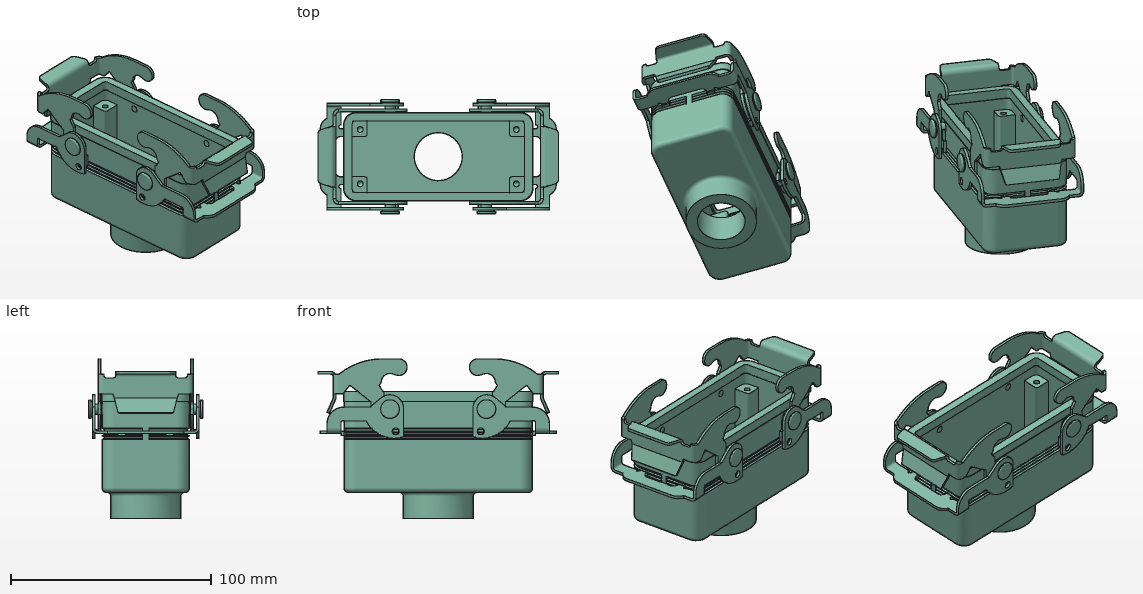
import cadquery as cq
import math

clearance = 1.2

body_x = 46.9
body_y = 21.7
body_bottom = 13.0
body_corner = 6.1
bottom_round = 2.2
rim_growth = 0.2
rim_bottom = 58.3
rim_top = 63.3
cavity_x = 42.8
cavity_y = 17.9
mouth_corner = 1.5
cavity_corner = 3.0
undercut = 0.7
cavity_floor = 17.0
nozzle_radius = 17.5
nozzle_root_round = 1.8
bore_radius = 11.9

groove_top = 45.0
groove_pitch = 1.9
groove_mouth = 1.8
groove_floor_height = 0.8
groove_depth = 1.0
groove_count = 3
end_gap = 3.0

post_length = 7.4
post_width = 7.9
post_top = 52.1
post_round = 1.4
screw_x = 38.9
screw_y = 13.5
screw_radius = 1.4
screw_depth = 14.4

sheet = 1.4
pivot_x = -24.0
pivot_z = 54.5
hook_outer_y = 23.8
arm_outer_y = 26.6
inner_bend = 1.3
outer_bend = inner_bend + sheet

end_face_x = -52.3
end_inner_x = end_face_x + sheet
end_bend_x = end_face_x + outer_bend
end_bottom = 62.0
end_top = 71.9
back_radius = 34.2
back_top_x = -28.0
hook_top = 79.5
nose_radius = 4.2
nose_x = -19.7
mouth_radius = 4.3
mouth_z = 67.9
relief_half = 20.8
relief_z = 70.1
relief_round = 1.2
lip_half = 15.0
lip_tip_half = 13.0
lip_tip_x = -60.0
lip_top = 73.3
lip_round = 2.4
flap_half = 16.3
flap_bend_half = 15.7
flap_tip_half = 13.7
flap_bend_z = 60.1
flap_tip_x = -55.4
flap_tip_z = 52.9
flap_angle = math.atan2(end_face_x - flap_tip_x, flap_bend_z - flap_tip_z)
flap_round = 1.4
hub_radius = 10.0
hub_side_x = -33.6
hub_edge_x = -20.4
mouth_heel = (-29.4, 66.2)
neck_x = -27.0
neck_top = 62.6
shank_bottom = 58.2
arch_x = -43.9
arch_top = 66.1
arch_half = 0.5
arch_drop = 0.2
arch_foot_x = -47.5
foot_left = -22.7
foot_right = -18.6
foot_top = 49.2
foot_bottom = 43.1

handle_left = -55.4
handle_right = -48.3
handle_bottom = 42.2
arm_start = 45.6
arm_bottom = 48.6
arm_top = 55.5
arm_round = 8.4
arm_inner_round = 0.6
head_radius = 7.2
head_side_x = -17.3
belly_radius = 15.5
belly_x = -22.0
belly_z = 40.0
arm_slope_x = -34.0
bulge_x = -58.8
bulge_half = 13.2
bulge_root_half = 19.1
bulge_mid = (-58.1, 16.5)
slot_x = -51.1
slot_half = 10.0
slot_round = 2.4
tab_half = 13.9
tab_bottom = 41.3
tab_drop = 0.2
notch_radius = 1.0
notch_depth = 1.1

rivet_head_radius = 4.7
overall_width = 57.0
rivet_top_y = overall_width / 2
rivet_head = 1.2
rivet_round = 0.6
rivet_neck_radius = 4.0
rivet_collar_radius = 2.6
rivet_stem_radius = 1.7

window_x = -21.1
window_z = 43.4
window_radius = 1.7
lug_left = -22.4
lug_right = -19.8
lug_top = 44.4


def block(x0, x1, half_y, z0, z1):
    """A box symmetric about the XZ plane."""
    box = cq.Workplane("XY").box(x1 - x0, 2 * half_y, z1 - z0, centered=False)
    return box.translate((x0, -half_y, z0))


def rounded_block(half_x, half_y, z0, z1, corner):
    return block(-half_x, half_x, half_y, z0, z1).edges("|Z").fillet(corner)


def side_plate(outline, outer_y):
    """Extrudes an XZ outline by the sheet thickness and copies it to the +Y side."""
    near = outline.extrude(sheet).translate((0, sheet - outer_y, 0))
    return near.union(near.mirror("XZ"))


def rod(x, z, radius, y0, y1):
    """A cylinder along -Y from distance y0 to distance y1."""
    return cq.Workplane("XZ", origin=(x, -y0, z)).circle(radius).extrude(y1 - y0)


def both_sides(shape):
    return shape.union(shape.mirror("XZ"))


def groove_cutter(top):
    """Trapezoidal groove round the body, interrupted in the middle of each end."""
    flank = (groove_mouth - groove_floor_height) / 2
    taper = math.degrees(math.atan2(groove_depth, flank))
    middle = top - groove_mouth / 2
    half_floor = groove_floor_height / 2
    core = rounded_block(
        body_x - groove_depth,
        body_y - groove_depth,
        middle - half_floor,
        middle + half_floor,
        body_corner - groove_depth,
    )
    outline = cq.Sketch().rect(2 * body_x, 2 * body_y).vertices().fillet(body_corner)
    lower_flank = cq.Workplane("XY").placeSketch(outline).extrude(flank, taper=taper)
    core = core.union(lower_flank.translate((0, 0, top - groove_mouth)))
    core = core.union(lower_flank.mirror("XY").translate((0, 0, top)))
    reach = body_x + clearance
    bottom = top - groove_mouth
    ring = block(-reach, reach, body_y + clearance, bottom, top).cut(core)
    return ring.cut(block(-reach, reach, end_gap / 2, bottom, top))


def screw_post(side_x, side_y):
    """Post in one corner of the cavity, with a blind screw hole ending in a cone."""
    post = cq.Workplane("XY").box(
        post_length + undercut, post_width + undercut, post_top - cavity_floor, centered=False
    )
    post = post.edges("|Z and <X and <Y").fillet(post_round)
    post = post.translate((cavity_x - post_length, cavity_y - post_width, cavity_floor))
    hole_bottom = post_top - screw_depth
    hole = cq.Workplane("XZ").polyline([
        (0, post_top),
        (screw_radius, post_top),
        (screw_radius, hole_bottom),
        (0, hole_bottom - screw_radius),
    ]).close().revolve(360, (0, 0, 0), (0, 1, 0))
    post = post.cut(hole.translate((screw_x, screw_y, 0)))
    if side_x < 0:
        post = post.mirror("YZ")
    if side_y < 0:
        post = post.mirror("XZ")
    return post


def make_housing():
    body = rounded_block(body_x, body_y, body_bottom, rim_top, body_corner)
    body = body.faces("<Z").edges().fillet(bottom_round)
    nozzle = cq.Workplane("XY").circle(nozzle_radius).extrude(body_bottom + bottom_round)
    body = body.union(nozzle)
    body = body.edges(cq.selectors.BoxSelector(
        (-nozzle_radius - clearance, -nozzle_radius - clearance, body_bottom - clearance),
        (nozzle_radius + clearance, nozzle_radius + clearance, body_bottom + clearance),
        boundingbox=True,
    )).fillet(nozzle_root_round)
    body = body.union(
        rounded_block(body_x + rim_growth, body_y + rim_growth, rim_bottom, rim_top, body_corner)
    )
    for index in range(groove_count):
        body = body.cut(groove_cutter(groove_top - index * groove_pitch))
    body = body.cut(rounded_block(cavity_x, cavity_y, rim_bottom, rim_top, mouth_corner))
    body = body.cut(rounded_block(
        cavity_x + undercut, cavity_y + undercut, cavity_floor, rim_bottom, cavity_corner
    ))
    body = body.cut(cq.Workplane("XY").circle(bore_radius).extrude(rim_bottom))
    for side_x in (-1, 1):
        for side_y in (-1, 1):
            body = body.union(screw_post(side_x, side_y))
        stem = rod(side_x * pivot_x, pivot_z, rivet_stem_radius, cavity_y, body_y + clearance)
        body = body.cut(both_sides(stem))
    return body


def hook_plates():
    """The two hooks, each in the XZ plane."""
    back_z = hook_top - back_radius
    back_mid_x = (end_bend_x + back_top_x) / 2

    def back_height(x):
        return back_z + math.sqrt(back_radius**2 - (x - back_top_x) ** 2)

    nose_z = hook_top - nose_radius
    nose_angle = math.atan2(nose_z - mouth_z, nose_x - pivot_x)
    meet = (pivot_x + mouth_radius * math.cos(nose_angle), mouth_z + mouth_radius * math.sin(nose_angle))
    nose_bottom = (nose_x, nose_z - nose_radius)
    mouth_top = (pivot_x, mouth_z + mouth_radius)
    mouth_side = (pivot_x - mouth_radius, mouth_z)
    hub_height = math.sqrt(hub_radius**2 - (hub_side_x - pivot_x) ** 2)
    hub_mid = (pivot_x - hub_radius * math.sqrt(0.5), pivot_z - hub_radius * math.sqrt(0.5))
    outline = (
        cq.Workplane("XZ")
        .moveTo(end_bend_x, back_height(end_bend_x))
        .threePointArc((back_mid_x, back_height(back_mid_x)), (back_top_x, hook_top))
        .lineTo(nose_x, hook_top)
        .threePointArc((nose_x + nose_radius, nose_z), nose_bottom)
        .lineTo(*meet)
        .threePointArc(mouth_top, mouth_side)
        .lineTo(*mouth_heel)
        .lineTo(neck_x, neck_top)
        .lineTo(neck_x, pivot_z)
        .lineTo(hub_edge_x, pivot_z)
        .lineTo(hub_edge_x, foot_top)
        .lineTo(foot_right, foot_top)
        .lineTo(foot_right, foot_bottom)
        .lineTo(foot_left, foot_bottom)
        .lineTo(foot_left, pivot_z - hub_radius)
        .lineTo(pivot_x, pivot_z - hub_radius)
        .threePointArc(hub_mid, (hub_side_x, pivot_z - hub_height))
        .lineTo(hub_side_x, shank_bottom)
        .lineTo(arch_x + arch_half, arch_top - arch_drop)
        .threePointArc((arch_x, arch_top), (arch_x - arch_half, arch_top - arch_drop))
        .lineTo(arch_foot_x, end_bottom)
        .lineTo(end_bend_x, end_bottom)
        .close()
    )
    return side_plate(outline, hook_outer_y)


def end_plate():
    """Upright plate joining the hooks through rounded corners."""
    plate = block(end_face_x, 0, hook_outer_y, end_bottom, end_top)
    plate = plate.edges("|Z and <X").fillet(outer_bend)
    inside = block(end_inner_x, 0, hook_outer_y - sheet, end_bottom, end_top)
    plate = plate.cut(inside.edges("|Z and <X").fillet(inner_bend))
    plate = plate.intersect(block(end_face_x, end_bend_x, hook_outer_y, end_bottom, end_top))
    outside_x = end_face_x - clearance
    inside_x = end_inner_x + clearance
    over = end_top + clearance
    relief_width = relief_half - lip_half
    relief = block(outside_x, inside_x, relief_width / 2, relief_z, over)
    relief = relief.edges("|X and <Z").fillet(relief_round)
    relief = relief.translate((0, lip_half + relief_width / 2, 0))
    lip_space = block(outside_x, inside_x, lip_half, lip_top - outer_bend, over)
    return plate.cut(both_sides(relief)).cut(lip_space)


def thumb_lip():
    """Lip bent outward from the top of the end plate, with a tapered plan."""
    bend_z = lip_top - outer_bend
    bend_x = end_inner_x - outer_bend
    diagonal = math.sqrt(0.5)
    strip = (
        cq.Workplane("XZ")
        .moveTo(end_inner_x, end_bottom)
        .lineTo(end_inner_x, bend_z)
        .threePointArc(
            (bend_x + outer_bend * diagonal, bend_z + outer_bend * diagonal), (bend_x, lip_top)
        )
        .lineTo(lip_tip_x, lip_top)
        .lineTo(lip_tip_x, lip_top - sheet)
        .lineTo(bend_x, lip_top - sheet)
        .threePointArc(
            (bend_x + inner_bend * diagonal, bend_z + inner_bend * diagonal), (end_face_x, bend_z)
        )
        .lineTo(end_face_x, end_bottom)
        .close()
        .extrude(lip_half, both=True)
    )
    plan = cq.Workplane("XY").polyline([
        (end_inner_x, -lip_half),
        (end_inner_x, lip_half),
        (bend_x, lip_half),
        (lip_tip_x, lip_tip_half),
        (lip_tip_x, -lip_tip_half),
        (bend_x, -lip_half),
    ]).close().extrude(lip_top)
    return strip.intersect(plan.edges("|Z and <X").fillet(lip_round))


def spring_flap():
    """Tapered flap sloping outward below the end plate."""
    across = sheet * math.cos(flap_angle)
    down = sheet * math.sin(flap_angle)
    strip = cq.Workplane("XZ").polyline([
        (end_face_x, end_bottom),
        (end_face_x, flap_bend_z),
        (flap_tip_x, flap_tip_z),
        (flap_tip_x + across, flap_tip_z - down),
        (end_inner_x, flap_bend_z - down / 2),
        (end_inner_x, end_bottom),
    ]).close().extrude(flap_half, both=True)
    front = cq.Workplane("YZ").polyline([
        (-flap_half, end_bottom),
        (flap_half, end_bottom),
        (flap_bend_half, flap_bend_z),
        (flap_tip_half, flap_tip_z - down),
        (-flap_tip_half, flap_tip_z - down),
        (-flap_bend_half, flap_bend_z),
    ]).close().extrude(lip_tip_x)
    return strip.intersect(front.edges("|X and <Z").fillet(flap_round))


def handle_arms():
    """The two arms, each with a round head about the pivot."""
    reach = math.hypot(arm_slope_x - pivot_x, arm_top - pivot_z)
    toward = math.atan2(arm_top - pivot_z, arm_slope_x - pivot_x)
    touch = toward - math.acos(head_radius / reach)
    touch_point = (pivot_x + head_radius * math.cos(touch), pivot_z + head_radius * math.sin(touch))
    belly_centre_z = belly_z + belly_radius

    def belly_height(x):
        return belly_centre_z - math.sqrt(belly_radius**2 - (x - belly_x) ** 2)

    belly_start_x = belly_x - math.sqrt(belly_radius**2 - (belly_centre_z - arm_bottom) ** 2)
    inner_mid = arm_inner_round * (1 - math.sqrt(0.5))
    round_mid = arm_round * (1 - math.sqrt(0.5))
    outline = (
        cq.Workplane("XZ")
        .moveTo(handle_left, arm_start)
        .lineTo(handle_left, arm_top - arm_round)
        .threePointArc(
            (handle_left + round_mid, arm_top - round_mid), (handle_left + arm_round, arm_top)
        )
        .lineTo(arm_slope_x, arm_top)
        .lineTo(*touch_point)
        .threePointArc((pivot_x, pivot_z + head_radius), (head_side_x, pivot_z))
        .lineTo(head_side_x, belly_height(head_side_x))
        .threePointArc((belly_x, belly_z), (belly_start_x, arm_bottom))
        .lineTo(handle_right + arm_inner_round, arm_bottom)
        .threePointArc(
            (handle_right + inner_mid, arm_bottom - inner_mid),
            (handle_right, arm_bottom - arm_inner_round),
        )
        .lineTo(handle_right, arm_start)
        .close()
    )
    return side_plate(outline, arm_outer_y)


def handle_grip():
    """Flat grip between the arms, bent up at both sides, with a bulge and two detent tabs."""
    grip = block(handle_left, handle_right, arm_outer_y, handle_bottom, arm_start)
    grip = grip.edges("|X and <Z").fillet(outer_bend)
    floor = handle_bottom + sheet
    inside = block(handle_left, handle_right, arm_outer_y - sheet, floor, arm_start)
    grip = grip.cut(inside.edges("|X and <Z").fillet(inner_bend))

    bulge = (
        cq.Workplane("XY", origin=(0, 0, handle_bottom))
        .moveTo(handle_left, -bulge_root_half)
        .threePointArc((bulge_mid[0], -bulge_mid[1]), (bulge_x, -bulge_half))
        .lineTo(bulge_x, bulge_half)
        .threePointArc(bulge_mid, (handle_left, bulge_root_half))
        .close()
        .extrude(sheet)
    )
    grip = grip.union(bulge)
    tabs = cq.Workplane("XZ").polyline([
        (handle_right, floor),
        (-body_x, floor - tab_drop),
        (-body_x, tab_bottom),
        (handle_right, tab_bottom),
    ]).close().extrude(tab_half, both=True)
    grip = grip.union(tabs)
    slot = block(slot_x, 0, slot_half, tab_bottom, floor)
    grip = grip.cut(slot.edges("|Z and <X").fillet(slot_round))
    notch_centre = handle_right - notch_depth + notch_radius
    notch = block(notch_centre, -body_x, notch_radius, tab_bottom, floor)
    notch_end = cq.Workplane("XY", origin=(notch_centre, 0, tab_bottom)).circle(notch_radius)
    notch = notch.union(notch_end.extrude(floor - tab_bottom))
    return grip.cut(both_sides(notch.translate((0, tab_half + notch_radius, 0))))


def rivets():
    """Pivot rivets running through both sheets into the housing wall."""
    head = rod(pivot_x, pivot_z, rivet_head_radius, rivet_top_y - rivet_head, rivet_top_y)
    head = head.faces("<Y").edges().fillet(rivet_round)
    neck = rod(pivot_x, pivot_z, rivet_neck_radius, arm_outer_y, rivet_top_y - rivet_head)
    shape = head.union(neck)
    shape = shape.union(rod(pivot_x, pivot_z, rivet_collar_radius, body_y, arm_outer_y))
    shape = shape.union(rod(pivot_x, pivot_z, rivet_stem_radius, cavity_y + undercut, arm_outer_y))
    return both_sides(shape)


def make_lever():
    hook = hook_plates().union(end_plate()).union(thumb_lip()).union(spring_flap())
    handle = handle_arms().union(handle_grip())
    window = rod(window_x, window_z, window_radius, arm_outer_y - sheet, arm_outer_y)
    handle = handle.cut(both_sides(window))
    lug = block(lug_left, lug_right, arm_outer_y - sheet, foot_bottom, lug_top)
    lug = lug.cut(block(lug_left, lug_right, hook_outer_y - sheet, foot_bottom, lug_top))
    hook = hook.union(lug)
    return hook.union(handle).union(rivets())


housing = make_housing()
levers = []
for lever_end in (-1, 1):
    lever = make_lever()
    if lever_end > 0:
        lever = lever.mirror("YZ")
    levers.append(lever)

result = cq.Compound.makeCompound([housing.val(), *[lever.val() for lever in levers]])